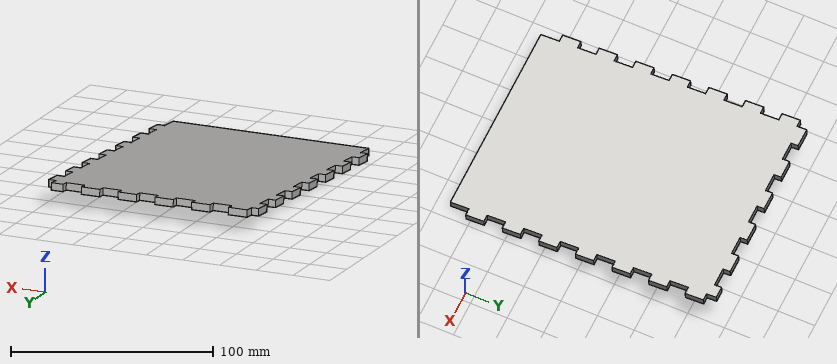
import cadquery as cq
import math

SPAN_X = 114.3
SPAN_Y = 145.36
SPAN_Z = 14.0

TILT = 4.0
TILT_SIN = math.sin(math.radians(TILT))
TILT_COS = math.cos(math.radians(TILT))
TILT_DOUBLE_COS = math.cos(math.radians(2 * TILT))
LENGTH = (SPAN_Y * TILT_COS - SPAN_Z * TILT_SIN) / TILT_DOUBLE_COS
THICKNESS = (SPAN_Z * TILT_COS - SPAN_Y * TILT_SIN) / TILT_DOUBLE_COS

FINGER = 10.0
FINGER_DEPTH = THICKNESS
BODY_WIDTH = SPAN_X - 2 * FINGER_DEPTH
SIDE_FINGERS = 7
SIDE_END_MARGIN = 10.15
TOP_GAPS = 5
TOP_FIRST_FINGER = 10.2


def block(x_start, y_start, width, length):
    """Full-thickness block in the panel's own plane."""
    return cq.Workplane("XY").box(width, length, THICKNESS, centered=False).translate((x_start, y_start, 0))


def add_side_fingers(panel):
    """Fingers standing out across both long edges."""
    for index in range(SIDE_FINGERS):
        y_start = -LENGTH / 2 + SIDE_END_MARGIN + 2 * FINGER * index
        panel = panel.union(block(-SPAN_X / 2, y_start, SPAN_X, FINGER))
    return panel


def cut_top_gaps(panel):
    """Gaps between the fingers of the +Y edge."""
    for index in range(TOP_GAPS):
        x_start = -BODY_WIDTH / 2 + TOP_FIRST_FINGER + 2 * FINGER * index
        panel = panel.cut(block(x_start, LENGTH / 2 - FINGER_DEPTH, FINGER, FINGER_DEPTH))
    return panel


body = block(-BODY_WIDTH / 2, -LENGTH / 2, BODY_WIDTH, LENGTH)
flat_panel = cut_top_gaps(add_side_fingers(body))
result = flat_panel.rotate((0, 0, 0), (1, 0, 0), TILT)